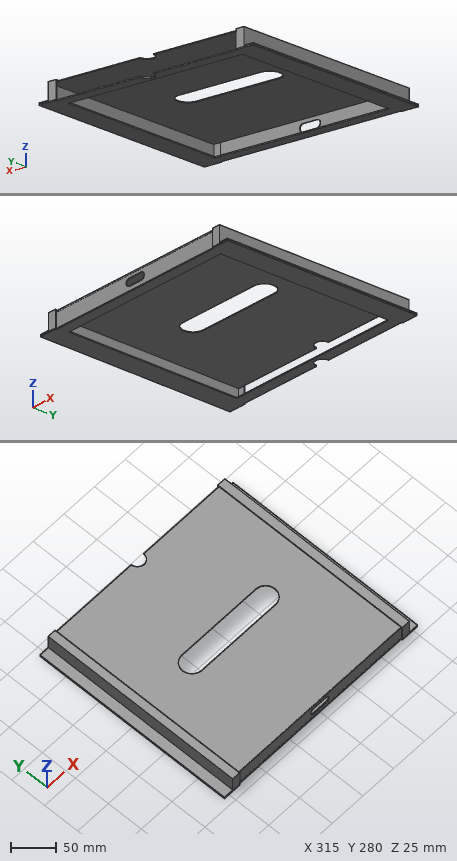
import cadquery as cq

OVERALL_X = 315.0
OVERALL_Y = 280.0
OVERALL_Z = 25.0

PLATE = 1.5
SHELL = 1.25

CAP_OUTER_X = 288.0
CAP_WIDTH = 11.5
CAP_INNER_X = CAP_OUTER_X - 2 * CAP_WIDTH
BOX_X = CAP_OUTER_X - 2 * PLATE
BOX_Y = OVERALL_Y - 2 * PLATE
BOX_TOP = OVERALL_Z - PLATE

STRIP_WIDTH = (OVERALL_X - CAP_INNER_X) / 2
STRIP_X = (OVERALL_X - STRIP_WIDTH) / 2
CAP_X = (CAP_OUTER_X - CAP_WIDTH) / 2

FRAME_BORDER = 14.5
HANDLE_LENGTH = 150.0
HANDLE_WIDTH = 30.0
WINDOW_LENGTH = 30.0
WINDOW_HEIGHT = 10.0
WINDOW_Z = OVERALL_Z / 2
NOTCH_RADIUS = 10.0


def block(size_x, size_y, bottom, top, center_x=0.0, center_y=0.0):
    """Upright block between two heights."""
    return (
        cq.Workplane("XY", origin=(center_x, center_y, bottom))
        .rect(size_x, size_y)
        .extrude(top - bottom)
    )


def cover_cavity():
    """Inside of the cover box, open below and at the rear."""
    return block(
        BOX_X - 2 * SHELL,
        BOX_Y - SHELL,
        PLATE,
        BOX_TOP - SHELL,
        center_y=SHELL / 2,
    )


def rear_notch():
    """Round cutter on the middle of the rear edge, through the full height."""
    return cq.Workplane("XY").center(0, BOX_Y / 2).circle(NOTCH_RADIUS).extrude(OVERALL_Z)


def handle_slot():
    """Long round-ended cutter for the top of the cover."""
    return cq.Workplane("XY").slot2D(HANDLE_LENGTH, HANDLE_WIDTH).extrude(OVERALL_Z)


def front_window():
    """Round-ended cutter running from the middle of the box out through the front wall."""
    return (
        cq.Workplane("XZ", origin=(0, 0, WINDOW_Z))
        .slot2D(WINDOW_LENGTH, WINDOW_HEIGHT)
        .extrude(OVERALL_Y / 2)
    )


def make_frame():
    """Flat frame under the cover, slightly longer along its left and right edges."""
    plate = block(OVERALL_X, BOX_Y, 0, PLATE)
    for side in (-1, 1):
        plate = plate.union(block(STRIP_WIDTH, OVERALL_Y, 0, PLATE, side * STRIP_X))
    opening = block(BOX_X - 2 * FRAME_BORDER, BOX_Y - 2 * FRAME_BORDER, 0, PLATE)
    return plate.cut(opening).cut(rear_notch())


def make_cover():
    """Hollow box with a raised cap and an outward flange along each side."""
    body = block(BOX_X, BOX_Y, PLATE, BOX_TOP)
    for side in (-1, 1):
        flange = block(STRIP_WIDTH, OVERALL_Y, PLATE, 2 * PLATE, side * STRIP_X)
        cap = block(CAP_WIDTH, OVERALL_Y, PLATE, OVERALL_Z, side * CAP_X)
        body = body.union(flange).union(cap)
    body = body.cut(cover_cavity())
    return body.cut(handle_slot()).cut(front_window()).cut(rear_notch())


frame = make_frame()
cover = make_cover()

result = cq.Compound.makeCompound([frame.solids().val(), cover.solids().val()])